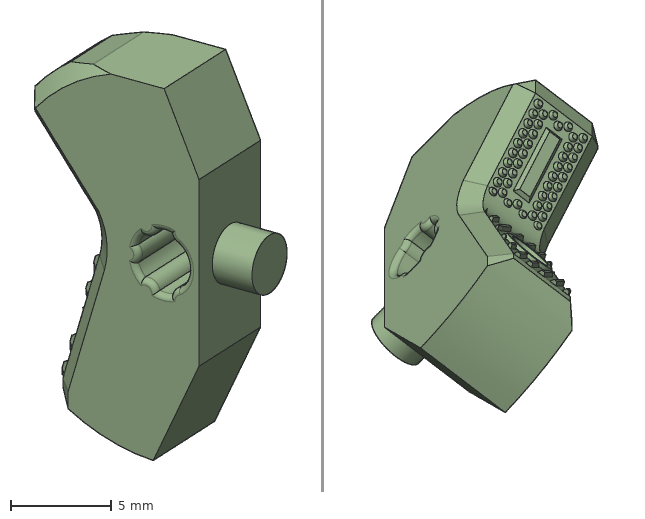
import cadquery as cq
import math

total_height = 20.58
body_width = 5.6
bore_x = -2.12
rim_radius = 11.01
rim_end_x = -2.74
back_half_height = 5.12
nose_x = -10.4
chin_x = -8.73
edge_chamfer = 0.93

upper_tilt = 38.6
upper_start_z = 5.9
upper_length = 6.35
lower_tilt = 16.7
lower_end_z = -8.33
lower_length = 7.61
throat_bottom_z = -1.03
throat_radius = 3.2

brow_start_x = -6.63
brow_tilt = 15.0

nose_bevel = 0.58

pin_diameter = 3.2
pin_length = 2.37

bore_radius = 1.75
bore_narrow_radius = 1.48
key_center_radius = 2.16
key_radius = 0.7
key_step = 60
mouth_radius = 0.3

relief_height = 0.2
relief_taper = 0.1

bar_width = 1.05
bar_length = 4.01
bar_taper = 0.19
stud_radius = 0.25
stud_column_pitch = 0.5
stud_row_pitch = 0.62
stud_rows = 10
stud_outer_column = 3

ring_outer_radius = 1.52
ring_inner_radius = 1.03
ring_clearance = 1.91
ridge_angle = 26.0
ridge_pitch = 0.72
ridge_width = 0.37
ridge_shift = 0.16
ridge_reach = 6

half_width = body_width / 2
face_half_width = half_width - edge_chamfer
upper_slope = math.tan(math.radians(upper_tilt))
lower_slope = math.tan(math.radians(lower_tilt))
beyond = 3 * rim_radius


def rim_z(x):
    """Height of the rim circle above the bore axis at the given X."""
    return math.sqrt(rim_radius**2 - (x - bore_x) ** 2)


top_z = total_height - rim_z(rim_end_x)


def nose_tip():
    """Point where the line of the upper working face meets the rim circle."""
    tilt = math.radians(upper_tilt)
    dx, dz = -math.sin(tilt), math.cos(tilt)
    from_x, from_z = nose_x - bore_x, upper_start_z
    along = from_x * dx + from_z * dz
    step = -along + math.sqrt(along**2 - from_x**2 - from_z**2 + rim_radius**2)
    return nose_x + step * dx, upper_start_z + step * dz


def chamfer_front(blank, zone):
    """Chamfer the side edges that lie in the zone, on both sides."""
    return blank.faces("<Y or >Y").edges(zone).chamfer(edge_chamfer)


def make_upper_body():
    """Part above the upper working face, whose line runs on into the lower body."""
    tip_x, tip_z = nose_tip()
    mid_x = (tip_x + rim_end_x) / 2
    foot_x = nose_x + (upper_start_z - throat_bottom_z) * upper_slope
    blank = (
        cq.Workplane("XZ")
        .moveTo(0, throat_bottom_z)
        .lineTo(foot_x, throat_bottom_z)
        .lineTo(tip_x, tip_z)
        .threePointArc((mid_x, rim_z(mid_x)), (rim_end_x, rim_z(rim_end_x)))
        .lineTo(0, back_half_height)
        .close()
        .extrude(half_width, both=True)
    )
    return chamfer_front(blank, cq.selectors.BoxSelector((-beyond, -beyond, 0), (rim_end_x, beyond, beyond)))


def make_lower_body():
    """Part behind the lower working face and the throat, which runs on into the upper body."""
    lower_lean = math.radians(lower_tilt)
    upper_lean = math.radians(upper_tilt)
    throat_bottom_x = chin_x + (throat_bottom_z - lower_end_z) * lower_slope
    center_x = throat_bottom_x - throat_radius * math.cos(lower_lean)
    center_z = throat_bottom_z + throat_radius * math.sin(lower_lean)
    throat_top_x = center_x + throat_radius * math.cos(upper_lean)
    throat_top_z = center_z + throat_radius * math.sin(upper_lean)
    mid_x = (chin_x + rim_end_x) / 2
    blank = (
        cq.Workplane("XZ")
        .moveTo(0, -back_half_height)
        .lineTo(rim_end_x, -rim_z(rim_end_x))
        .threePointArc((mid_x, -rim_z(mid_x)), (chin_x, -rim_z(chin_x)))
        .lineTo(chin_x, lower_end_z)
        .lineTo(throat_bottom_x, throat_bottom_z)
        .threePointArc((center_x + throat_radius, center_z), (throat_top_x, throat_top_z))
        .lineTo(0, back_half_height)
        .close()
        .extrude(half_width, both=True)
    )
    zone_low = (-beyond, -beyond, -rim_z(chin_x))
    zone_high = (center_x + throat_radius, beyond, throat_top_z)
    return chamfer_front(blank, cq.selectors.BoxSelector(zone_low, zone_high))


def trim_head(body):
    """Flat top, tilted brow, flat nose and the two nose bevels."""
    brow_run = rim_radius
    brow_drop = brow_run * math.tan(math.radians(brow_tilt))
    head_waste = (
        cq.Workplane("XZ")
        .polyline(
            [
                (beyond, top_z),
                (brow_start_x, top_z),
                (brow_start_x - brow_run, top_z - brow_drop),
                (brow_start_x - brow_run, beyond),
                (beyond, beyond),
            ]
        )
        .close()
        .extrude(body_width, both=True)
    )
    nose_waste = (
        cq.Workplane("XY")
        .polyline(
            [
                (nose_x + nose_bevel, half_width),
                (nose_x, face_half_width),
                (nose_x, -face_half_width),
                (nose_x + nose_bevel, -half_width),
                (-beyond, -half_width),
                (-beyond, half_width),
            ]
        )
        .close()
        .extrude(rim_radius)
    )
    return body.cut(head_waste).cut(nose_waste)


def trumpet(radius):
    """Round bore through the width whose two mouths flare out with a rounded lip."""
    lip_y = half_width - mouth_radius
    mouth = radius + mouth_radius
    lip_mid = mouth_radius * math.sqrt(0.5)
    return (
        cq.Workplane("XY")
        .moveTo(0, -half_width)
        .lineTo(mouth, -half_width)
        .threePointArc((mouth - lip_mid, -lip_y - lip_mid), (radius, -lip_y))
        .lineTo(radius, lip_y)
        .threePointArc((mouth - lip_mid, lip_y + lip_mid), (mouth, half_width))
        .lineTo(0, half_width)
        .close()
        .revolve(360, (0, 0, 0), (0, 1, 0))
    )


def make_bore():
    """Bore through the width: wide arcs between keys, narrow on the back side."""
    reach = 2 * bore_radius
    sector_rise = reach * math.tan(math.radians(key_step))
    back_sector = (
        cq.Workplane("XZ")
        .polyline([(0, 0), (reach, -sector_rise), (reach, sector_rise)])
        .close()
        .extrude(body_width, both=True)
    )
    bore = trumpet(bore_radius).cut(back_sector)
    bore = bore.union(trumpet(bore_narrow_radius).intersect(back_sector))
    key = cq.Workplane("XZ").circle(key_radius).extrude(half_width, both=True)
    key = key.faces("<Y or >Y").edges().fillet(mouth_radius).translate((key_center_radius, 0, 0))
    for angle in range(key_step, 360 - key_step + 1, key_step):
        bore = bore.cut(key.rotate((0, 0, 0), (0, 1, 0), angle))
    return bore.translate((bore_x, 0, 0))


def face_plane(center, tilt):
    """Plane on a working face: local X points along -Y, local Y up the face."""
    lean = math.radians(tilt)
    return cq.Plane(
        origin=center,
        xDir=(0, -1, 0),
        normal=(-math.cos(lean), 0, -math.sin(lean)),
    )


def frustum(radius, top_radius):
    """Cone frustum as high as the relief, standing on the local XY plane."""
    return cq.Workplane(cq.Solid.makeCone(radius, top_radius, relief_height))


def make_upper_relief():
    """Bevelled bar and its border of studs, flat on the XY plane."""
    bar_slope = math.degrees(math.atan(bar_taper / relief_height))
    relief = cq.Workplane("XY").rect(bar_width, bar_length).extrude(relief_height, taper=bar_slope)
    stud = frustum(stud_radius, stud_radius - relief_taper)
    for column in range(-stud_outer_column, stud_outer_column + 1):
        rows = stud_rows - (stud_outer_column - column) % 2
        full_column = abs(column) >= stud_outer_column - 1
        for row in range(rows):
            if full_column or row in (0, rows - 1):
                y = (row - (rows - 1) / 2) * stud_row_pitch
                relief = relief.add(stud.translate((column * stud_column_pitch, y, 0)))
    return relief


def make_lower_relief():
    """Ring and the ridges around it, flat on the XY plane."""
    ridge = (
        cq.Workplane("XZ")
        .polyline(
            [
                (-ridge_width / 2, 0),
                (ridge_width / 2, 0),
                (ridge_width / 2 - relief_taper, relief_height),
                (relief_taper - ridge_width / 2, relief_height),
            ]
        )
        .close()
        .extrude(lower_length, both=True)
    )
    clear_disc = frustum(ring_clearance, ring_clearance + relief_taper)
    face_block = cq.Workplane("XY").box(
        2 * face_half_width, lower_length, relief_height, centered=(True, True, False)
    )
    ridges = cq.Workplane("XY")
    for index in range(-ridge_reach, ridge_reach + 1):
        strip = ridge.translate((index * ridge_pitch + ridge_shift, 0, 0))
        ridges = ridges.union(strip.rotate((0, 0, 0), (0, 0, 1), -ridge_angle))
    ring = frustum(ring_outer_radius, ring_outer_radius - relief_taper).cut(
        frustum(ring_inner_radius, ring_inner_radius + relief_taper)
    )
    return ridges.intersect(face_block).cut(clear_disc).add(ring)


def add_relief(body, relief, plane):
    """Stand each raised piece on the given face plane and join it to the body."""
    pieces = [solid.moved(plane.location) for solid in relief.solids().vals()]
    return cq.Workplane(body.val().fuse(*pieces))


upper_half_rise = upper_length / 2 * math.cos(math.radians(upper_tilt))
upper_center = (nose_x + upper_half_rise * upper_slope, 0, upper_start_z - upper_half_rise)
lower_half_rise = lower_length / 2 * math.cos(math.radians(lower_tilt))
lower_center = (chin_x + lower_half_rise * lower_slope, 0, lower_end_z + lower_half_rise)

body = make_upper_body().union(make_lower_body())
body = trim_head(body).cut(make_bore())
body = body.union(cq.Workplane("YZ").circle(pin_diameter / 2).extrude(pin_length))
body = add_relief(body, make_upper_relief(), face_plane(upper_center, upper_tilt))
result = add_relief(body, make_lower_relief(), face_plane(lower_center, -lower_tilt))